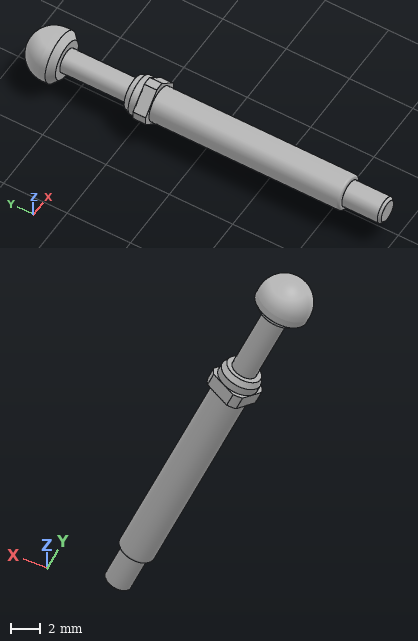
import cadquery as cq
import math

OVERALL_LENGTH = 28.3
TIP_LENGTH = 3.0
BARREL_LENGTH = 15.0
WRENCH_LENGTH = 1.0
COLLAR_LENGTH = 1.02
COLLAR_TAPER_LENGTH = 0.45
HEAD_LENGTH = 3.0

TIP_DIAMETER = 2.0
BARREL_DIAMETER = 2.7
COLLAR_DIAMETER = 3.0
STEM_DIAMETER = 1.85
HEAD_DIAMETER = 4.0

TIP_CHAMFER = 0.2
BARREL_END_FILLET = 0.2
HEAD_CHAMFER = 0.5
COLLAR_TAPER = 0.2

WRENCH_ACROSS_FLATS = 3.03
WRENCH_ACROSS_CORNERS = 3.65

barrel_start = TIP_LENGTH
wrench_start = barrel_start + BARREL_LENGTH
collar_start = wrench_start + WRENCH_LENGTH
stem_start = collar_start + COLLAR_LENGTH
head_start = OVERALL_LENGTH - HEAD_LENGTH

tip_radius = TIP_DIAMETER / 2
barrel_radius = BARREL_DIAMETER / 2
collar_radius = COLLAR_DIAMETER / 2
stem_radius = STEM_DIAMETER / 2
head_radius = HEAD_DIAMETER / 2


def turned_body():
    """Solid of revolution about Y: tip, barrel, collar, stem and domed head."""
    dome_start = OVERALL_LENGTH - head_radius
    dome_mid = head_radius * math.sqrt(0.5)
    profile = (
        cq.Workplane("XY")
        .moveTo(0, 0)
        .lineTo(tip_radius - TIP_CHAMFER, 0)
        .lineTo(tip_radius, TIP_CHAMFER)
        .lineTo(tip_radius, barrel_start)
        .lineTo(barrel_radius - BARREL_END_FILLET, barrel_start)
        .radiusArc((barrel_radius, barrel_start + BARREL_END_FILLET), -BARREL_END_FILLET)
        .lineTo(barrel_radius, collar_start)
        .lineTo(collar_radius, collar_start)
        .lineTo(collar_radius, stem_start - COLLAR_TAPER_LENGTH)
        .lineTo(collar_radius - COLLAR_TAPER, stem_start)
        .lineTo(stem_radius, stem_start)
        .lineTo(stem_radius, head_start)
        .lineTo(head_radius - HEAD_CHAMFER, head_start)
        .lineTo(head_radius, head_start + HEAD_CHAMFER)
        .lineTo(head_radius, dome_start)
        .threePointArc((dome_mid, dome_start + dome_mid), (0, OVERALL_LENGTH))
        .close()
    )
    return profile.revolve(360, (0, 0, 0), (0, 1, 0))


def wrench_square():
    """Square section with corners rounded to a circle; the corners face X and Z."""
    wrench_plane = cq.Workplane("XZ", origin=(0, wrench_start, 0))
    square = (
        wrench_plane
        .transformed(rotate=(0, 0, 45))
        .rect(WRENCH_ACROSS_FLATS, WRENCH_ACROSS_FLATS)
        .extrude(-WRENCH_LENGTH)
    )
    corner_round = wrench_plane.circle(WRENCH_ACROSS_CORNERS / 2).extrude(-WRENCH_LENGTH)
    return square.intersect(corner_round)


result = turned_body().union(wrench_square())